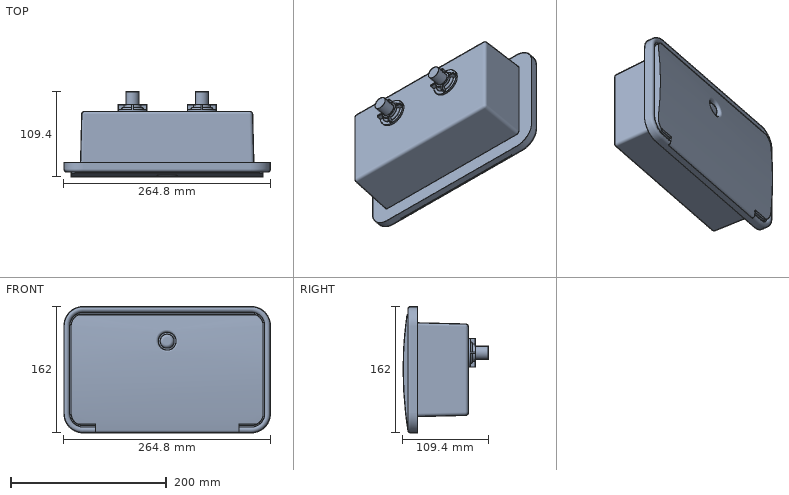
import cadquery as cq
import math


frame_width = 264.8
frame_height = 162.0
frame_corner_radius = 25.0
bead_radius = 3.7
bead_front_y = 6.0
ledge_y = bead_front_y + bead_radius
flange_back_y = 18.5

box_width = 222.5
box_height = 120.5
box_back_y = 84.0
box_draft_angle = 1.4
box_fillet = 4.0

door_gap = 1.9
panel_height = 143.0
panel_chamfer = 1.5
hinge_width = 184.3
face_bottom_z = -frame_height / 2 + bead_radius
face_radius = (face_bottom_z**2 + bead_front_y**2) / (2 * bead_front_y)

lock_z = 36.5
lock_recess_radius = 11.5
lock_rim_fillet = 2.6
lock_floor_y = 8.2
button_radius = 9.0
button_rounding = 4.2

pipe_spacing = 89.0
pipe_z = 21.7
pipe_radius = 8.5
pipe_end_y = 109.4
nut_radius = 18.5
nut_height = 8.7
nut_base_thickness = 2.5
nut_hub_radius = 11.0
nut_shoulder_radius = 14.0
wing_thickness = 2.0


def plane_at(y, x=0.0, z=0.0):
    """Work plane at depth y, with local axes X and Z and a normal toward the back (+Y)."""
    return cq.Workplane(cq.Plane(origin=(x, y, z), xDir=(1, 0, 0), normal=(0, 1, 0)))


def block(width, y_range, z_range):
    """Box centred in X, between the given limits in Y and Z."""
    depth = y_range[1] - y_range[0]
    height = z_range[1] - z_range[0]
    corner = (-width / 2, y_range[0], z_range[0])
    return cq.Workplane("XY").box(width, depth, height, centered=False).translate(corner)


def rounded_plate(inset, front_y, back_y):
    """Plate with the outline of the frame, moved inward by the inset."""
    return (
        plane_at(front_y)
        .rect(frame_width - 2 * inset, frame_height - 2 * inset)
        .extrude(back_y - front_y)
        .edges("|Y")
        .fillet(frame_corner_radius - inset)
    )


def make_bead():
    """Half-round bead that runs around the front of the flange."""
    path = rounded_plate(bead_radius, ledge_y, flange_back_y).faces("<Y").wires()
    profile = (
        cq.Workplane("XY")
        .moveTo(-frame_width / 2, ledge_y)
        .threePointArc(
            (-frame_width / 2 + bead_radius, bead_front_y),
            (-frame_width / 2 + 2 * bead_radius, ledge_y),
        )
        .close()
    )
    return profile.sweep(path)


def make_housing():
    flange = rounded_plate(0.0, ledge_y, flange_back_y)
    box = (
        plane_at(flange_back_y)
        .rect(box_width, box_height)
        .extrude(box_back_y - flange_back_y, taper=box_draft_angle)
    )
    box = box.edges("not(<Y)").fillet(box_fillet)
    hinge_opening = block(hinge_width, (0.0, ledge_y), (-frame_height / 2, 0.0))
    return flange.union(box).union(make_bead().cut(hinge_opening))


def face_y(z):
    """Depth of the bulged door face at height z."""
    return face_radius - math.sqrt(face_radius**2 - z**2)


def side_profile(width):
    """Empty side outline, in Y and Z, to be extruded over a width centred in X."""
    return cq.Workplane("YZ", origin=(-width / 2, 0, 0))


def make_panel():
    """Bulged panel inside the bead, chamfered along its upper and lower edges."""
    edge_z = panel_height / 2
    face_end_z = edge_z - panel_chamfer
    chamfer_end_y = face_y(face_end_z) + panel_chamfer
    slab = (
        side_profile(frame_width)
        .moveTo(ledge_y, -edge_z)
        .lineTo(chamfer_end_y, -edge_z)
        .lineTo(face_y(face_end_z), -face_end_z)
        .threePointArc((0.0, 0.0), (face_y(face_end_z), face_end_z))
        .lineTo(chamfer_end_y, edge_z)
        .lineTo(ledge_y, edge_z)
        .close()
        .extrude(frame_width)
    )
    return slab.intersect(rounded_plate(2 * bead_radius + door_gap, 0.0, ledge_y))


def make_hinge_tongue():
    """Lower middle of the door, which fills the opening in the bead and repeats its outer rounding."""
    bottom_z = -frame_height / 2
    diagonal = bead_radius * math.sqrt(0.5)
    return (
        side_profile(hinge_width)
        .moveTo(ledge_y, bottom_z)
        .threePointArc((ledge_y - diagonal, face_bottom_z - diagonal), (bead_front_y, face_bottom_z))
        .threePointArc((face_y(face_bottom_z / 2), face_bottom_z / 2), (0.0, 0.0))
        .lineTo(ledge_y, 0.0)
        .close()
        .extrude(hinge_width)
    )


def make_lock_recess():
    """Ring-shaped recess that leaves a domed button standing in its middle."""
    button_flat_radius = button_radius - button_rounding
    button_top_y = lock_floor_y - button_rounding
    diagonal = button_rounding * math.sqrt(0.5)
    return (
        cq.Workplane("XY")
        .lineTo(lock_recess_radius, 0.0)
        .lineTo(lock_recess_radius, lock_floor_y)
        .lineTo(button_radius, lock_floor_y)
        .threePointArc(
            (button_flat_radius + diagonal, lock_floor_y - diagonal),
            (button_flat_radius, button_top_y),
        )
        .lineTo(0.0, button_top_y)
        .close()
        .revolve(360, (0, 0, 0), (0, 1, 0))
        .translate((0, 0, lock_z))
    )


def make_door():
    door = make_panel().union(make_hinge_tongue()).cut(make_lock_recess())
    rim_centre = (0.0, face_y(lock_z), lock_z)
    return door.edges(cq.selectors.NearestToPointSelector(rim_centre)).fillet(lock_rim_fillet)


def make_pipe(x):
    return plane_at(box_back_y, x, pipe_z).circle(pipe_radius).extrude(pipe_end_y - box_back_y)


def make_wing_nut(x):
    """Round base with a domed shoulder, a hub and radial wings, bored for the pipe."""
    dome_height = nut_shoulder_radius - nut_hub_radius
    diagonal = dome_height * math.sqrt(0.5)
    nut = (
        cq.Workplane("XY")
        .moveTo(pipe_radius, 0.0)
        .lineTo(nut_radius, 0.0)
        .lineTo(nut_radius, nut_base_thickness)
        .lineTo(nut_shoulder_radius, nut_base_thickness)
        .threePointArc(
            (nut_hub_radius + diagonal, nut_base_thickness + diagonal),
            (nut_hub_radius, nut_base_thickness + dome_height),
        )
        .lineTo(nut_hub_radius, nut_height)
        .lineTo(pipe_radius, nut_height)
        .close()
        .revolve(360, (0, 0, 0), (0, 1, 0))
    )
    envelope = plane_at(0.0).circle(nut_radius).circle(pipe_radius).extrude(nut_height)
    for width, height in ((2 * nut_radius, wing_thickness), (wing_thickness, 2 * nut_radius)):
        wing_pair = plane_at(0.0).rect(width, height).extrude(nut_height)
        nut = nut.union(wing_pair.intersect(envelope))
    return nut.translate((x, box_back_y, pipe_z))


housing = make_housing()
door = make_door()

pipes = []
wing_nuts = []
for pipe_x in (-pipe_spacing / 2, pipe_spacing / 2):
    pipes.append(make_pipe(pipe_x).val())
    wing_nuts.append(make_wing_nut(pipe_x).val())

result = cq.Compound.makeCompound([housing.val(), door.val(), *pipes, *wing_nuts])